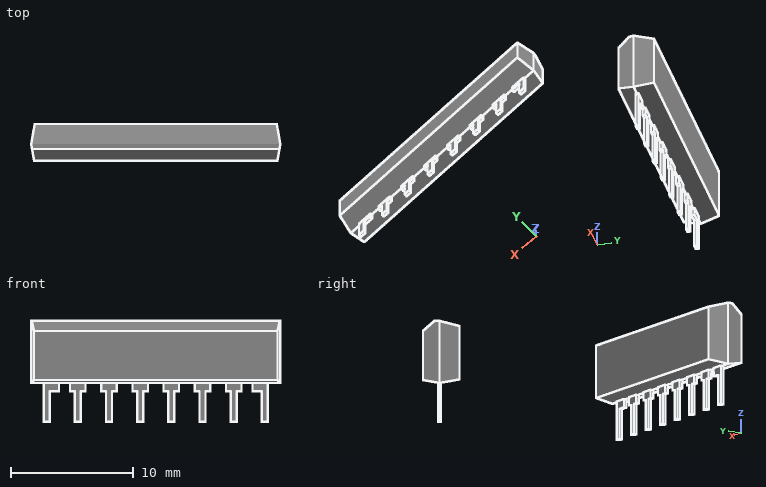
import cadquery as cq
import math

HOUSING_LENGTH = 20.32
HOUSING_HEIGHT = 5.08
FRONT_DEPTH = 1.36
BACK_DEPTH = 1.65
DRAFT_ANGLE = 10.0
TOP_FLAT_WIDTH = 0.4
FRONT_BEVEL_DROP = 0.83
BACK_TOP_DROP = 0.43

DRAFT_SLOPE = math.tan(math.radians(DRAFT_ANGLE))
FRONT_DRAFT = FRONT_DEPTH * DRAFT_SLOPE
BACK_DRAFT = BACK_DEPTH * DRAFT_SLOPE

LEAD_COUNT = 8
LEAD_PITCH = 2.55
LEAD_THICKNESS = 0.25
LEG_WIDTH = 0.5
SHOULDER_WIDTH = 1.28
SHOULDER_DROP = 0.67
LEAD_DROP = 3.17


def make_housing():
    """Drafted block: a side profile along X, trimmed by a plan outline."""
    side_profile = [
        (-FRONT_DEPTH, FRONT_DRAFT),
        (0, 0),
        (BACK_DEPTH, BACK_DRAFT),
        (BACK_DEPTH, HOUSING_HEIGHT - BACK_TOP_DROP),
        (0, HOUSING_HEIGHT),
        (-TOP_FLAT_WIDTH, HOUSING_HEIGHT),
        (-FRONT_DEPTH, HOUSING_HEIGHT - FRONT_BEVEL_DROP),
    ]
    half_length = HOUSING_LENGTH / 2
    plan_outline = [
        (-half_length + FRONT_DRAFT, -FRONT_DEPTH),
        (half_length - FRONT_DRAFT, -FRONT_DEPTH),
        (half_length, 0),
        (half_length - BACK_DRAFT, BACK_DEPTH),
        (-half_length + BACK_DRAFT, BACK_DEPTH),
        (-half_length, 0),
    ]
    bar = cq.Workplane("YZ").polyline(side_profile).close().extrude(half_length, both=True)
    plan = cq.Workplane("XY").polyline(plan_outline).close().extrude(HOUSING_HEIGHT)
    return bar.intersect(plan)


def make_lead(leg_x, shoulder_x, housing):
    """Lead whose top is shaped to meet the V-shaped underside of the housing."""
    blank_top = LEAD_THICKNESS / 2 * DRAFT_SLOPE
    shoulder = cq.Workplane("XY", origin=(shoulder_x, 0, -SHOULDER_DROP)).box(
        SHOULDER_WIDTH, LEAD_THICKNESS, SHOULDER_DROP + blank_top, centered=(True, True, False)
    )
    leg = cq.Workplane("XY", origin=(leg_x, 0, -LEAD_DROP)).box(
        LEG_WIDTH, LEAD_THICKNESS, LEAD_DROP, centered=(True, True, False)
    )
    return shoulder.union(leg).cut(housing).solids()


def make_leads(housing):
    """Row of leads; the end shoulders shift inward to be flush with the outer leg sides."""
    last = LEAD_COUNT - 1
    end_shift = (SHOULDER_WIDTH - LEG_WIDTH) / 2
    shoulder_shifts = {0: end_shift, last: -end_shift}
    leads = []
    for index in range(LEAD_COUNT):
        leg_x = (index - last / 2) * LEAD_PITCH
        shoulder_x = leg_x + shoulder_shifts.get(index, 0)
        leads.append(make_lead(leg_x, shoulder_x, housing))
    return leads


housing = make_housing()
leads = make_leads(housing)
result = cq.Compound.makeCompound([housing.solids().val(), *[lead.val() for lead in leads]])